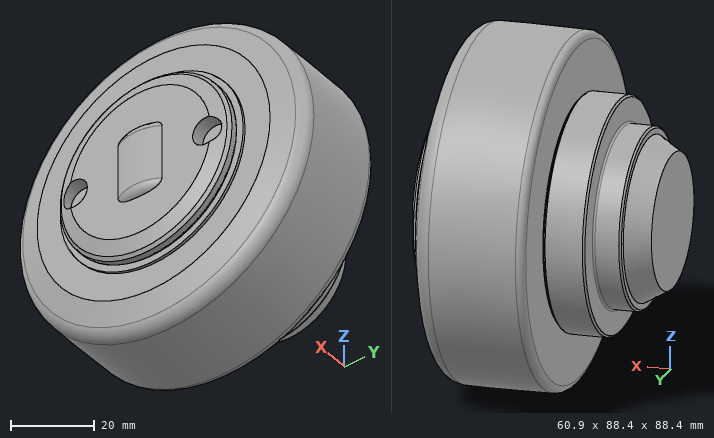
import cadquery as cq
import math


pin_tip_radius = 17.0
pin_cone_radius = 20.5
pin_cone_end_x = 6.0
pin_radius = 22.5
flange_start_x = 13.0
flange_radius = 29.4
edge_chamfer = 0.5
pin_root_fillet = 0.5

gap_radius = 28.5
gap_start_x = 23.4

roller_start_x = 23.75
roller_end_x = 53.65
roller_middle_x = (roller_start_x + roller_end_x) / 2
roller_radius = 44.2
crown_radius = 500.0
roller_back_fillet = 2.0
roller_front_fillet = 4.0
roller_cone_end_radius = 35.4
roller_cone_angle = 20.0
roller_front_edge_x = 47.7

seal_radius = 27.8
seal_end_x = 54.4
relief_radius = 25.8
cover_start_x = 54.8
cover_radius = 26.1
cover_chamfer_start_x = 56.6
cover_cone_start_x = 57.4
cover_cone_start_radius = 25.2
cover_end_x = 59.0
cover_end_radius = 21.4

overall_length = 60.89
axial_roller_radius = 12.65
axial_roller_length = 21.0
axial_roller_fillet = 2.5

spanner_hole_diameter = 8.0
spanner_hole_offset = 20.0
spanner_hole_depth = 4.0


def ring(start_x, end_x, radius):
    """Solid disc on the X axis from start_x to end_x."""
    return cq.Workplane("YZ").workplane(offset=start_x).circle(radius).extrude(end_x - start_x)


def arc_point(centre, radius, angle):
    """Point on an arc; the angle is in radians, turned from the outward radial direction towards +X."""
    return centre[0] + radius * math.sin(angle), centre[1] + radius * math.cos(angle)


def make_pin_and_flange():
    root_start_x = flange_start_x - pin_root_fillet
    root_centre = (root_start_x, pin_radius + pin_root_fillet)
    pin = (
        cq.Workplane("XY")
        .polyline([
            (0, 0),
            (0, pin_tip_radius),
            (pin_cone_end_x, pin_cone_radius),
            (pin_cone_end_x, pin_radius - edge_chamfer),
            (pin_cone_end_x + edge_chamfer, pin_radius),
            (root_start_x, pin_radius),
        ])
        .threePointArc(
            arc_point(root_centre, pin_root_fillet, math.radians(135)),
            (flange_start_x, root_centre[1]),
        )
        .lineTo(flange_start_x, 0)
        .close()
        .revolve(360, (0, 0, 0), (1, 0, 0))
    )
    flange = ring(flange_start_x, gap_start_x, flange_radius).faces("<X or >X").chamfer(edge_chamfer)
    gap = ring(gap_start_x, roller_start_x, gap_radius)
    return pin.union(flange).union(gap)


def tread_height(x):
    """Radius of the crowned tread at x."""
    return roller_radius - crown_radius + math.sqrt(crown_radius**2 - (x - roller_middle_x) ** 2)


def make_main_roller():
    back_edge_x = roller_start_x + roller_back_fillet
    back_edge_radius = tread_height(back_edge_x)
    back_centre = (back_edge_x, back_edge_radius - roller_back_fillet)
    front_edge_radius = tread_height(roller_front_edge_x)
    front_centre = (roller_front_edge_x, front_edge_radius - roller_front_fillet)
    front_sweep = math.radians(90 - roller_cone_angle)
    outline = (
        cq.Workplane("XY")
        .moveTo(roller_start_x, 0)
        .lineTo(roller_start_x, back_centre[1])
        .threePointArc(
            arc_point(back_centre, roller_back_fillet, math.radians(-45)),
            (back_edge_x, back_edge_radius),
        )
        .threePointArc((roller_middle_x, roller_radius), (roller_front_edge_x, front_edge_radius))
        .threePointArc(
            arc_point(front_centre, roller_front_fillet, front_sweep / 2),
            arc_point(front_centre, roller_front_fillet, front_sweep),
        )
        .lineTo(roller_end_x, roller_cone_end_radius)
        .lineTo(roller_end_x, 0)
        .close()
    )
    return outline.revolve(360, (0, 0, 0), (1, 0, 0))


def make_cover():
    seal = ring(roller_end_x, seal_end_x, seal_radius)
    relief = ring(seal_end_x, cover_start_x, relief_radius)
    cover = (
        cq.Workplane("XY")
        .polyline([
            (cover_start_x, 0),
            (cover_start_x, cover_radius),
            (cover_chamfer_start_x, cover_radius),
            (cover_cone_start_x, cover_cone_start_radius),
            (cover_end_x, cover_end_radius),
            (cover_end_x, 0),
        ])
        .close()
        .revolve(360, (0, 0, 0), (1, 0, 0))
    )
    return seal.union(relief).union(cover)


def make_spanner_holes():
    return (
        cq.Workplane("YZ")
        .workplane(offset=cover_end_x - spanner_hole_depth)
        .pushPoints([(-spanner_hole_offset, 0), (spanner_hole_offset, 0)])
        .circle(spanner_hole_diameter / 2)
        .extrude(spanner_hole_depth)
    )


def make_axial_roller():
    return (
        cq.Workplane("XY")
        .center(overall_length - axial_roller_radius, 0)
        .circle(axial_roller_radius)
        .extrude(axial_roller_length / 2, both=True)
        .faces("<Z or >Z")
        .edges()
        .fillet(axial_roller_fillet)
    )


result = make_pin_and_flange().union(make_main_roller()).union(make_cover())
result = result.cut(make_spanner_holes()).union(make_axial_roller())